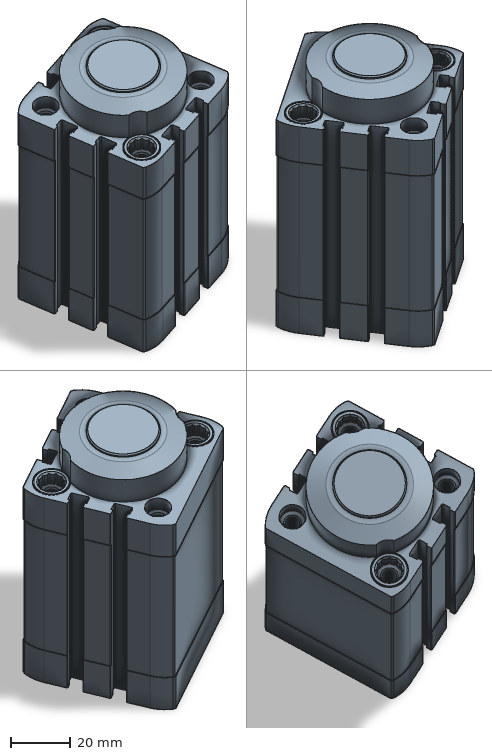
import cadquery as cq
import math

WIDTH = 54.5
HALF_WIDTH = WIDTH / 2
TOTAL_HEIGHT = 100.0
HOUSING_HEIGHT = 86.7
CAP_HEIGHT = 15.0
TOP_CAP_BOTTOM_Z = HOUSING_HEIGHT - CAP_HEIGHT
BARREL_INSET = 0.25

CORNER_ARC_START = 18.9
CORNER_ARC_RADIUS = 15.5
CORNER_BEVEL = 0.7

SLOT_OFFSET = 7.7
SLOT_OPENING = 5.4
SLOT_INNER_WIDTH = 6.7
SLOT_DEPTH = 5.4
SLOT_LIP = 2.0
SLOT_LIP_SLOPE = 0.3
SLOT_FLOOR_BEVEL = 0.4
SLOT_EDGE_CHAMFER = 0.3
SLOT_OVERCUT = 1.0
SLOTTED_SIDE_TURNS = (0, 90, -90)

COLLAR_DIAMETER = 43.0
COLLAR_CONE_TOP_DIAMETER = 29.5
COLLAR_SHOULDER_Z = 97.1
COLLAR_TOP_Z = 99.0

ROD_DIAMETER = 25.0
ROD_CHAMFER = 0.5
ROD_BOTTOM_Z = TOP_CAP_BOTTOM_Z

HOLE_OFFSET = 19.0
HOLE_DIAMETER = 4.9
HOLE_MOUTH_DIAMETER = 6.0
COUNTERBORE_DIAMETER = 9.0
COUNTERBORE_DEPTH = 5.3
HEAD_DIAMETER = 12.8
HEAD_CHAMFER = 0.4
SOCKET_ACROSS_FLATS = 8.0
SOCKET_BORE_DIAMETER = 8.6
SOCKET_MOUTH_DIAMETER = 10.0
HEXAGON_SIDES = 6

COUNTERBORE_FLOOR_Z = HOUSING_HEIGHT - COUNTERBORE_DEPTH
PLAIN_CORNERS = [(-HOLE_OFFSET, -HOLE_OFFSET), (HOLE_OFFSET, HOLE_OFFSET)]
SCREW_CORNERS = [(-HOLE_OFFSET, HOLE_OFFSET), (HOLE_OFFSET, -HOLE_OFFSET)]


def cylinder(diameter, bottom_z, top_z):
    """Upright cylinder on the Z axis."""
    return cq.Workplane("XY").workplane(offset=bottom_z).circle(diameter / 2).extrude(top_z - bottom_z)


def cone(bottom_diameter, top_diameter, bottom_z, top_z):
    """Upright truncated cone on the Z axis."""
    height = top_z - bottom_z
    return cq.Workplane(
        cq.Solid.makeCone(bottom_diameter / 2, top_diameter / 2, height, pnt=cq.Vector(0, 0, bottom_z))
    )


def corner_arc_x(y):
    """X of the corner arc in the +X +Y quadrant, at a given y."""
    rise = y - CORNER_ARC_START
    return HALF_WIDTH - CORNER_ARC_RADIUS + math.sqrt(CORNER_ARC_RADIUS**2 - rise**2)


def rounded_outline():
    """Rounded square outline without slots."""
    arc_end_y = HALF_WIDTH - CORNER_BEVEL
    arc_end_x = corner_arc_x(arc_end_y)
    arc_mid_y = (CORNER_ARC_START + arc_end_y) / 2
    arc_mid_x = corner_arc_x(arc_mid_y)
    flat_end_x = arc_end_x - CORNER_BEVEL
    return (
        cq.Workplane("XY")
        .moveTo(HALF_WIDTH, -CORNER_ARC_START)
        .lineTo(HALF_WIDTH, CORNER_ARC_START)
        .threePointArc((arc_mid_x, arc_mid_y), (arc_end_x, arc_end_y))
        .lineTo(flat_end_x, HALF_WIDTH)
        .lineTo(-flat_end_x, HALF_WIDTH)
        .lineTo(-arc_end_x, arc_end_y)
        .threePointArc((-arc_mid_x, arc_mid_y), (-HALF_WIDTH, CORNER_ARC_START))
        .lineTo(-HALF_WIDTH, -CORNER_ARC_START)
        .threePointArc((-arc_mid_x, -arc_mid_y), (-arc_end_x, -arc_end_y))
        .lineTo(-flat_end_x, -HALF_WIDTH)
        .lineTo(flat_end_x, -HALF_WIDTH)
        .lineTo(arc_end_x, -arc_end_y)
        .threePointArc((arc_mid_x, -arc_mid_y), (HALF_WIDTH, -CORNER_ARC_START))
        .close()
    )


def slot_pair(face_inset):
    """Pair of T-slots for a -Y face that lies face_inset inside the full width."""
    half_opening = SLOT_OPENING / 2
    half_inner = SLOT_INNER_WIDTH / 2
    half_floor = half_inner - SLOT_FLOOR_BEVEL
    lip_end = SLOT_LIP + SLOT_LIP_SLOPE
    wall_end = SLOT_DEPTH - SLOT_FLOOR_BEVEL
    edge_end = face_inset + SLOT_EDGE_CHAMFER
    mouth = half_opening + SLOT_EDGE_CHAMFER
    profile = [
        (-mouth, -SLOT_OVERCUT),
        (-mouth, face_inset),
        (-half_opening, edge_end),
        (-half_opening, SLOT_LIP),
        (-half_inner, lip_end),
        (-half_inner, wall_end),
        (-half_floor, SLOT_DEPTH),
        (half_floor, SLOT_DEPTH),
        (half_inner, wall_end),
        (half_inner, lip_end),
        (half_opening, SLOT_LIP),
        (half_opening, edge_end),
        (mouth, face_inset),
        (mouth, -SLOT_OVERCUT),
    ]
    slot = cq.Workplane("XY").polyline(profile).close().extrude(HOUSING_HEIGHT)
    left_slot = slot.translate((-SLOT_OFFSET, -HALF_WIDTH, 0))
    right_slot = slot.translate((SLOT_OFFSET, -HALF_WIDTH, 0))
    return left_slot.union(right_slot)


def housing_section(bottom_z, top_z, inset):
    """Slotted length of the housing, with its outline drawn in by inset."""
    outline = rounded_outline()
    if inset > 0:
        outline = outline.offset2D(-inset)
    section = outline.extrude(top_z - bottom_z)
    slots = slot_pair(inset)
    for turn in SLOTTED_SIDE_TURNS:
        section = section.cut(slots.rotate((0, 0, 0), (0, 0, 1), turn))
    return section.translate((0, 0, bottom_z))


def collar():
    """Round collar with a shallow conical top."""
    return cylinder(COLLAR_DIAMETER, HOUSING_HEIGHT, COLLAR_SHOULDER_Z).union(
        cone(COLLAR_DIAMETER, COLLAR_CONE_TOP_DIAMETER, COLLAR_SHOULDER_Z, COLLAR_TOP_Z)
    )


def through_hole():
    """Through hole that widens conically at the counterbore floor."""
    mouth_depth = (HOLE_MOUTH_DIAMETER - HOLE_DIAMETER) / 2
    return cylinder(HOLE_DIAMETER, 0, COUNTERBORE_FLOOR_Z).union(
        cone(HOLE_DIAMETER, HOLE_MOUTH_DIAMETER, COUNTERBORE_FLOOR_Z - mouth_depth, COUNTERBORE_FLOOR_Z)
    )


def plain_hole_cutter():
    """Counterbored through hole."""
    return through_hole().union(cylinder(COUNTERBORE_DIAMETER, COUNTERBORE_FLOOR_Z, HOUSING_HEIGHT))


def twelve_point_socket():
    """Round socket notched by two hexagons turned 30 degrees apart, with a conical mouth."""
    bore = cylinder(SOCKET_BORE_DIAMETER, COUNTERBORE_FLOOR_Z, HOUSING_HEIGHT)
    mouth_depth = (SOCKET_MOUTH_DIAMETER - SOCKET_BORE_DIAMETER) / 2
    mouth_bottom_z = HOUSING_HEIGHT - mouth_depth
    mouth = cone(SOCKET_BORE_DIAMETER, SOCKET_MOUTH_DIAMETER, mouth_bottom_z, HOUSING_HEIGHT)
    hexagon = (
        cq.Workplane("XY")
        .workplane(offset=COUNTERBORE_FLOOR_Z)
        .polygon(HEXAGON_SIDES, SOCKET_ACROSS_FLATS / math.cos(math.pi / HEXAGON_SIDES))
        .extrude(COUNTERBORE_DEPTH)
    )
    turned_hexagon = hexagon.rotate((0, 0, 0), (0, 0, 1), 180 / HEXAGON_SIDES)
    return bore.union(mouth).union(hexagon).union(turned_hexagon)


def head_edge_groove():
    """V-groove left around the chamfered edge of a flush screw head."""
    groove_bottom_z = HOUSING_HEIGHT - HEAD_CHAMFER
    chamfered_edge = cone(HEAD_DIAMETER, HEAD_DIAMETER - 2 * HEAD_CHAMFER, groove_bottom_z, HOUSING_HEIGHT)
    return cylinder(HEAD_DIAMETER, groove_bottom_z, HOUSING_HEIGHT).cut(chamfered_edge)


def screw_hole_cutter():
    """Through hole with socket, head groove and clearance above the head."""
    head_clearance = cylinder(HEAD_DIAMETER, HOUSING_HEIGHT, TOTAL_HEIGHT)
    return through_hole().union(twelve_point_socket()).union(head_edge_groove()).union(head_clearance)


def make_housing():
    bottom_cap = housing_section(0, CAP_HEIGHT, 0)
    barrel = housing_section(CAP_HEIGHT, TOP_CAP_BOTTOM_Z, BARREL_INSET)
    top_cap = housing_section(TOP_CAP_BOTTOM_Z, HOUSING_HEIGHT, 0)
    housing = bottom_cap.union(barrel).union(top_cap).union(collar())
    for x, y in PLAIN_CORNERS:
        housing = housing.cut(plain_hole_cutter().translate((x, y, 0)))
    for x, y in SCREW_CORNERS:
        housing = housing.cut(screw_hole_cutter().translate((x, y, 0)))
    return housing.cut(cylinder(ROD_DIAMETER, ROD_BOTTOM_Z, TOTAL_HEIGHT))


def make_rod():
    return cylinder(ROD_DIAMETER, ROD_BOTTOM_Z, TOTAL_HEIGHT).faces(">Z").chamfer(ROD_CHAMFER)


housing = make_housing()
rod = make_rod()
result = cq.Compound.makeCompound([housing.val(), rod.val()])